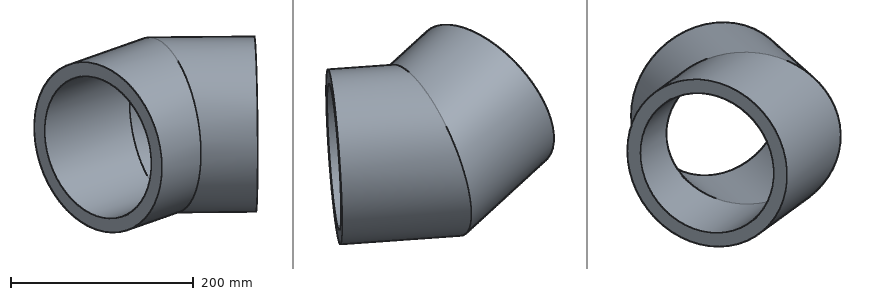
import cadquery as cq
import math

overall_length = 242.0
outer_diameter = 192.1
wall = 16.0
bend_angle = math.radians(45)

outer_radius = outer_diameter / 2
inner_radius = outer_radius - wall

outside_leg_length = overall_length / (1 + math.cos(bend_angle))
leg_length = outside_leg_length - outer_radius * math.tan(bend_angle / 2)

mitre_normal = (math.sin(bend_angle / 2), math.cos(bend_angle / 2), 0)
mitre_plane = cq.Plane(origin=(0, 0, 0), xDir=(0, 0, 1), normal=mitre_normal)


def straight_leg():
    """Pipe along +Y, from its square end to the mitre plane."""
    end_plane = cq.Plane(origin=(0, -leg_length, 0), xDir=(1, 0, 0), normal=(0, 1, 0))
    pipe = cq.Workplane(end_plane).circle(outer_radius).circle(inner_radius).extrude(2 * leg_length)
    block_size = 2 * overall_length
    beyond_mitre = cq.Workplane(mitre_plane).rect(block_size, block_size).extrude(block_size)
    return pipe.cut(beyond_mitre)


leg = straight_leg()
angled_leg = leg.mirror(cq.Vector(*mitre_normal))
result = leg.union(angled_leg)